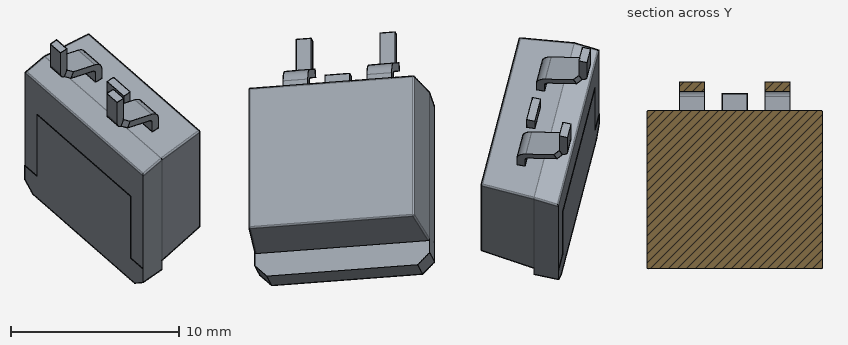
import cadquery as cq
import math


body_width = 10.6
body_bottom = 1.5
body_top = 11.08
body_front = 0.02
parting_y = 1.52
body_back = 4.82
back_draft = 5.0
front_slope = 11.0
edge_radius = 0.1

foot_height = 2.02
foot_chamfer = 0.73
pad_width = 8.4
pad_top = 7.8

lead_pitch = 5.08
lead_width = 1.5
lead_tip_width = 0.92
lead_thickness = 0.5
lead_root_y = 2.52
lead_root_z = 10.0
lead_top = 15.5
stub_top = 12.0
lead_slope = 23.0
tip_bend_z = 13.5
root_bend_radius = 0.4


def make_body():
    height = body_top - body_bottom
    middle_z = (body_top + body_bottom) / 2
    back = (
        cq.Workplane(cq.Plane((0, parting_y, middle_z), xDir=(-1, 0, 0), normal=(0, 1, 0)))
        .rect(body_width, height)
        .extrude(body_back - parting_y, taper=back_draft)
    )
    drop = (parting_y - body_front) * math.tan(math.radians(front_slope))
    front = (
        cq.Workplane("YZ")
        .polyline([
            (parting_y, body_bottom),
            (parting_y, body_top),
            (body_front, body_top - drop),
            (body_front, body_bottom + drop),
        ])
        .close()
        .extrude(body_width / 2, both=True)
    )
    body = back.union(front)

    front_height = height - 2 * drop

    def is_rounded(edge):
        centre = edge.Center()
        on_parting_line = abs(centre.y - parting_y) < edge_radius
        on_front_upright = centre.y < parting_y and abs(centre.z - middle_z) < front_height / 4
        return not (on_parting_line or on_front_upright)

    rounded = [edge for edge in body.edges().vals() if is_rounded(edge)]
    return body.newObject(rounded).fillet(edge_radius)


def make_tab():
    foot = (
        cq.Workplane("XY")
        .box(body_width, parting_y, foot_height, centered=(True, False, False))
        .edges("|Y and <Z")
        .chamfer(foot_chamfer)
    )
    pad = cq.Workplane("XY").box(pad_width, parting_y, pad_top, centered=(True, False, False))
    return foot.union(pad)


def make_lead(x):
    """Lead bent forward to the mounting face, narrowed from the tip bend upwards."""
    slope = math.radians(lead_slope)
    root_back = lead_root_y + lead_thickness

    def arc_point(centre, radius, angle):
        return (centre[0] + radius * math.cos(angle), centre[1] + radius * math.sin(angle))

    sloped_normal = math.pi / 2 - slope
    half_way = sloped_normal / 2

    tip_centre = (lead_thickness, tip_bend_z)

    outer_radius = root_bend_radius + lead_thickness
    root_centre_y = lead_root_y - root_bend_radius
    root_centre_z = (
        tip_bend_z
        - (root_centre_y - lead_thickness) * math.tan(slope)
        - outer_radius / math.cos(slope)
    )
    root_centre = (root_centre_y, root_centre_z)

    lead = (
        cq.Workplane("YZ", origin=(x, 0, 0))
        .moveTo(lead_root_y, lead_root_z)
        .lineTo(lead_root_y, root_centre_z)
        .threePointArc(
            arc_point(root_centre, root_bend_radius, half_way),
            arc_point(root_centre, root_bend_radius, sloped_normal),
        )
        .lineTo(*arc_point(tip_centre, lead_thickness, math.pi + sloped_normal))
        .threePointArc(
            arc_point(tip_centre, lead_thickness, math.pi + half_way),
            (0, tip_bend_z),
        )
        .lineTo(0, lead_top)
        .lineTo(lead_thickness, lead_top)
        .lineTo(*tip_centre)
        .lineTo(*arc_point(root_centre, outer_radius, sloped_normal))
        .threePointArc(
            arc_point(root_centre, outer_radius, half_way),
            (root_back, root_centre_z),
        )
        .lineTo(root_back, lead_root_z)
        .close()
        .extrude(lead_width / 2, both=True)
    )

    shoulder = (lead_width - lead_tip_width) / 2
    reach = lead_top - tip_bend_z
    slope_plane = cq.Plane(
        (x, lead_thickness, tip_bend_z),
        xDir=(-1, 0, 0),
        normal=(0, math.sin(slope), math.cos(slope)),
    )
    for side in (-1, 1):
        trim = (
            cq.Workplane(slope_plane)
            .polyline([
                (side * lead_width / 2, -shoulder),
                (side * lead_tip_width / 2, 0),
                (side * lead_tip_width / 2, reach),
                (side * lead_width / 2, reach),
            ])
            .close()
            .extrude(reach, both=True)
        )
        lead = lead.cut(trim)
    return lead


def make_stub():
    return cq.Workplane("XY", origin=(0, lead_root_y, lead_root_z)).box(
        lead_width, lead_thickness, stub_top - lead_root_z, centered=(True, False, False)
    )


result = make_body().union(make_tab()).union(make_stub())
for lead_x in (-lead_pitch / 2, lead_pitch / 2):
    result = result.union(make_lead(lead_x))